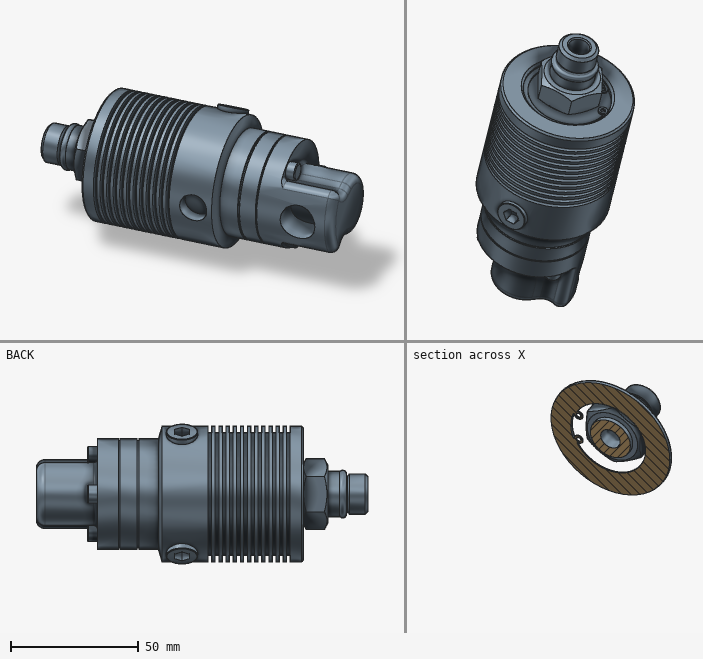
import cadquery as cq
import math


HEX_SIDES = 6
FULL_TURN = 360
QUARTER_TURN = 90

TIP_DIA = 15.9
TIP_END_DIA = 13.5
TIP_END_CHAMFER = 1.2
TIP_LENGTH = 8.2
TIP_BACK_CHAMFER = 0.9
NECK_DIA = 13.5
BEAD_DIA = 18.8
BEAD_RADIUS = 1.5
BEAD_CENTER = 10.0
SHOULDER_START = 11.2
SHOULDER_DIA = 18.0
HEX_START = 15.8
HEX_LENGTH = 10.0
HEX_FLATS = 24.1
HEX_FACE_DIA = 22.5
HEX_CHAMFER = 1.4
SHAFT_DIA = 18.1
ROTOR_BORE_DIA = 8.5
ROTOR_BORE_CHAMFER = 0.5

BARREL_START = 25.4
BARREL_END = 81.0
BARREL_DIA = 53.5
BARREL_CHAMFER = 0.8
TAPER_LENGTH = 1.4
FIN_COUNT = 12
FIN_START = 30.6
FIN_PITCH = 2.8
FIN_GROOVE_WIDTH = 1.4
FIN_GROOVE_DIA = 48.2

TAIL_DIA = 43.5
TAIL_END = 106.4
TAIL_GROOVE_DIA = 42.2
TAIL_GROOVES = [(90.0, 0.8), (97.5, 0.5)]

RECESS_DIA = 35.3
RECESS_MOUTH_DIA = 37.3
RING_DEPTH = 1.7
RING_THICKNESS = 0.8
RECESS_DEPTH = RING_DEPTH + RING_THICKNESS
RING_INNER_DIA = 32.6
RING_INNER_SHIFT = 0.7
EAR_DIA = 3.8
EAR_HOLE_DIA = 2.0
EAR_Y = -14.3
EAR_Z = 6.1

RADIAL_X = 73.1
VENT_DIA = 11.5
VENT_FLOOR_RADIUS = 21.1
PLUG_DIA = 12.4
PLUG_BASE_RADIUS = 19.5
PLUG_TOP_RADIUS = 28.3
PLUG_CHAMFER = 0.3
PLUG_ANGLES = (-30, -150)
SOCKET_CORNERS = 6.9
SOCKET_DEPTH = 4.5
SOCKET_POINT_DEPTH = 2.0

BLOCK_END = 130.4
BLOCK_HALF_HEIGHT = 13.5
BLOCK_BACK_RADIUS = 12.4
LOBE_RADIUS = 3.5
BLOCK_END_FILLET = 3.4
BLOCK_BASE_FILLET = 1.4
TANGENT_RUN = 6.5
PORT_X = 115.5
PORT_DIA = 14.7
PORT_FLOOR_RADIUS = 10.7

SCREW_CIRCLE_RADIUS = 17.5
SCREW_DIA = 7.2
SCREW_HEIGHT = 3.9
SCREW_CHAMFER = 0.4
SCREW_COUNT = 3


def disc(start, length, dia):
    """Solid cylinder along +X."""
    return cq.Workplane("YZ", origin=(start, 0, 0)).circle(dia / 2).extrude(length)


def annular_groove(start, width, floor_dia):
    """Ring-shaped cutter that leaves the material inside floor_dia."""
    return (
        cq.Workplane("YZ", origin=(start, 0, 0))
        .circle(BARREL_DIA)
        .circle(floor_dia / 2)
        .extrude(width)
    )


def hex_collar():
    """Hexagon with points at top and bottom, both ends chamfered by a cone."""
    corners = HEX_FLATS / math.cos(math.pi / HEX_SIDES)
    prism = (
        cq.Workplane("YZ", origin=(HEX_START, 0, 0))
        .transformed(rotate=(0, 0, QUARTER_TURN))
        .polygon(HEX_SIDES, corners)
        .extrude(HEX_LENGTH)
    )
    face_radius = HEX_FACE_DIA / 2
    corner_radius = corners / 2
    envelope = (
        cq.Workplane("XY")
        .moveTo(HEX_START, 0)
        .lineTo(HEX_START, face_radius)
        .lineTo(HEX_START + HEX_CHAMFER, corner_radius)
        .lineTo(HEX_START + HEX_LENGTH - HEX_CHAMFER, corner_radius)
        .lineTo(HEX_START + HEX_LENGTH, face_radius)
        .lineTo(HEX_START + HEX_LENGTH, 0)
        .close()
        .revolve(FULL_TURN, (0, 0, 0), (1, 0, 0))
    )
    return prism.intersect(envelope)


def make_rotor():
    recess_floor = BARREL_START + RECESS_DEPTH
    bead_crest = BEAD_DIA / 2
    bead_middle = bead_crest - BEAD_RADIUS
    bead_start = BEAD_CENTER - BEAD_RADIUS
    bead_drop = math.sqrt(BEAD_RADIUS**2 - (SHOULDER_START - BEAD_CENTER) ** 2)
    turned = (
        cq.Workplane("XY")
        .moveTo(0, ROTOR_BORE_DIA / 2 + ROTOR_BORE_CHAMFER)
        .lineTo(0, TIP_END_DIA / 2)
        .lineTo(TIP_END_CHAMFER, TIP_DIA / 2)
        .lineTo(TIP_LENGTH - TIP_BACK_CHAMFER, TIP_DIA / 2)
        .lineTo(TIP_LENGTH, TIP_DIA / 2 - TIP_BACK_CHAMFER)
        .lineTo(TIP_LENGTH, NECK_DIA / 2)
        .lineTo(bead_start, NECK_DIA / 2)
        .lineTo(bead_start, bead_middle)
        .threePointArc((BEAD_CENTER, bead_crest), (SHOULDER_START, bead_middle + bead_drop))
        .lineTo(SHOULDER_START, SHOULDER_DIA / 2)
        .lineTo(HEX_START, SHOULDER_DIA / 2)
        .lineTo(HEX_START, SHAFT_DIA / 2)
        .lineTo(recess_floor, SHAFT_DIA / 2)
        .lineTo(recess_floor, ROTOR_BORE_DIA / 2)
        .lineTo(ROTOR_BORE_CHAMFER, ROTOR_BORE_DIA / 2)
        .close()
        .revolve(FULL_TURN, (0, 0, 0), (1, 0, 0))
    )
    bore = disc(0, recess_floor, ROTOR_BORE_DIA)
    return turned.union(hex_collar().cut(bore))


def barrel_and_tail():
    """Turned outside of the housing, still without fins."""
    barrel_radius = BARREL_DIA / 2
    tail_radius = TAIL_DIA / 2
    return (
        cq.Workplane("XY")
        .moveTo(BARREL_START, 0)
        .lineTo(BARREL_START, barrel_radius - BARREL_CHAMFER)
        .lineTo(BARREL_START + BARREL_CHAMFER, barrel_radius)
        .lineTo(BARREL_END, barrel_radius)
        .lineTo(BARREL_END + TAPER_LENGTH, tail_radius)
        .lineTo(TAIL_END, tail_radius)
        .lineTo(TAIL_END, 0)
        .close()
        .revolve(FULL_TURN, (0, 0, 0), (1, 0, 0))
    )


def cut_turned_grooves(body):
    for index in range(FIN_COUNT):
        start = FIN_START + index * FIN_PITCH
        body = body.cut(annular_groove(start, FIN_GROOVE_WIDTH, FIN_GROOVE_DIA))
    for start, width in TAIL_GROOVES:
        body = body.cut(annular_groove(start, width, TAIL_GROOVE_DIA))
    return body


def recess():
    mouth = (RECESS_MOUTH_DIA - RECESS_DIA) / 2
    return (
        cq.Workplane("XY")
        .moveTo(BARREL_START, 0)
        .lineTo(BARREL_START, RECESS_MOUTH_DIA / 2)
        .lineTo(BARREL_START + mouth, RECESS_DIA / 2)
        .lineTo(BARREL_START + RECESS_DEPTH, RECESS_DIA / 2)
        .lineTo(BARREL_START + RECESS_DEPTH, 0)
        .close()
        .revolve(FULL_TURN, (0, 0, 0), (1, 0, 0))
    )


def retaining_ring():
    """Open ring, thickest at +Y, with a drilled ear at each side of the gap at -Y."""
    ring_start = BARREL_START + RING_DEPTH
    plane = cq.Workplane("YZ", origin=(ring_start, 0, 0))
    ears = [(EAR_Y, EAR_Z), (EAR_Y, -EAR_Z)]
    ring = disc(ring_start, RING_THICKNESS, RECESS_DIA).cut(
        plane.center(-RING_INNER_SHIFT, 0).circle(RING_INNER_DIA / 2).extrude(RING_THICKNESS)
    )
    gap = plane.center(-RECESS_DIA / 2, 0).rect(RECESS_DIA / 2, 2 * EAR_Z).extrude(RING_THICKNESS)
    ring = ring.cut(gap)
    ring = ring.union(plane.pushPoints(ears).circle(EAR_DIA / 2).extrude(RING_THICKNESS))
    return ring.cut(plane.pushPoints(ears).circle(EAR_HOLE_DIA / 2).extrude(RING_THICKNESS))


def radial_pocket(x, dia, mouth_radius, floor_radius):
    """Round opening from the -Y side whose floor is a cylinder about the X axis."""
    drill = cq.Workplane("XZ", origin=(x, 0, 0)).circle(dia / 2).extrude(mouth_radius)
    return drill.cut(disc(x - dia, 2 * dia, 2 * floor_radius))


def plug():
    """Round plug head along +Z, its foot buried in the barrel."""
    return (
        cq.Workplane("XY", origin=(RADIAL_X, 0, PLUG_BASE_RADIUS))
        .circle(PLUG_DIA / 2)
        .extrude(PLUG_TOP_RADIUS - PLUG_BASE_RADIUS)
        .faces(">Z")
        .chamfer(PLUG_CHAMFER)
    )


def socket():
    """Hexagon socket ending in a drill point."""
    depth = SOCKET_DEPTH + SOCKET_POINT_DEPTH
    hexagon = (
        cq.Workplane("XY", origin=(RADIAL_X, 0, PLUG_TOP_RADIUS - depth))
        .transformed(rotate=(0, 0, QUARTER_TURN))
        .polygon(HEX_SIDES, SOCKET_CORNERS)
        .extrude(depth)
    )
    pilot = (
        cq.Workplane("XZ", origin=(RADIAL_X, 0, PLUG_TOP_RADIUS))
        .moveTo(0, 0)
        .lineTo(SOCKET_CORNERS / 2, 0)
        .lineTo(SOCKET_CORNERS / 2, -SOCKET_DEPTH)
        .lineTo(0, -depth)
        .close()
        .revolve(FULL_TURN, (0, 0, 0), (0, 1, 0))
    )
    return hexagon.intersect(pilot)


def add_plugs(body):
    for angle in PLUG_ANGLES:
        body = body.union(plug().rotate((0, 0, 0), (1, 0, 0), angle))
        body = body.cut(socket().rotate((0, 0, 0), (1, 0, 0), angle))
    return body


def screw_places():
    angles = [2 * math.pi * index / SCREW_COUNT for index in range(SCREW_COUNT)]
    return [(SCREW_CIRCLE_RADIUS * math.cos(a), SCREW_CIRCLE_RADIUS * math.sin(a)) for a in angles]


def towards(start, target, distance):
    """Point at the given distance from start in the direction of target."""
    span = math.dist(start, target)
    return tuple(s + (t - s) * distance / span for s, t in zip(start, target))


def mirror(point):
    """Same point on the other side of the Z = 0 plane."""
    return (point[0], -point[1])


def block_outline():
    """(Y, Z) points of the upper half of the block outline, from its round back to the tail circle.

    In order: end of the back arc, the hollow round a screw (start, middle, end) and the lobe
    (middle, end). All stretches are tangent to each other and to the tail circle.
    """
    tail_radius = TAIL_DIA / 2
    lobe_z = BLOCK_HALF_HEIGHT - LOBE_RADIUS
    lobe = (-math.sqrt((tail_radius - LOBE_RADIUS) ** 2 - lobe_z**2), lobe_z)
    screw = screw_places()[1]
    hollow_radius = math.dist(lobe, screw) - LOBE_RADIUS

    distance = math.hypot(*screw)
    normal = math.atan2(screw[1], screw[0])
    normal -= math.acos((BLOCK_BACK_RADIUS + hollow_radius) / distance)
    direction = (math.cos(normal), math.sin(normal))
    back_end = tuple(BLOCK_BACK_RADIUS * d for d in direction)
    hollow_start = tuple(s - hollow_radius * d for s, d in zip(screw, direction))

    hollow_end = towards(screw, lobe, hollow_radius)
    hollow_middle = towards(screw, [(a + b) / 2 for a, b in zip(hollow_start, hollow_end)], hollow_radius)
    lobe_end = towards((0, 0), lobe, tail_radius)
    lobe_middle = towards(lobe, [(a + b) / 2 for a, b in zip(hollow_end, lobe_end)], LOBE_RADIUS)
    return back_end, hollow_start, hollow_middle, hollow_end, lobe_middle, lobe_end


def block_clearance():
    """Cutter for the space round the block, leaving a rounded foot where the block meets the tail."""
    back_end, hollow_start, hollow_middle, hollow_end, lobe_middle, lobe_end = block_outline()

    tail_radius = TAIL_DIA / 2
    tangent = (lobe_end[1] / tail_radius, -lobe_end[0] / tail_radius)
    exit_point = tuple(p - TANGENT_RUN * t for p, t in zip(lobe_end, tangent))

    clearance = (
        cq.Workplane("YZ", origin=(TAIL_END, 0, 0))
        .moveTo(*mirror(back_end))
        .threePointArc((BLOCK_BACK_RADIUS, 0), back_end)
        .lineTo(*hollow_start)
        .threePointArc(hollow_middle, hollow_end)
        .threePointArc(lobe_middle, lobe_end)
        .lineTo(*exit_point)
        .lineTo(exit_point[0], TAIL_DIA)
        .lineTo(TAIL_DIA, TAIL_DIA)
        .lineTo(TAIL_DIA, -TAIL_DIA)
        .lineTo(exit_point[0], -TAIL_DIA)
        .lineTo(*mirror(exit_point))
        .lineTo(*mirror(lobe_end))
        .threePointArc(mirror(lobe_middle), mirror(hollow_end))
        .threePointArc(mirror(hollow_middle), mirror(hollow_start))
        .close()
        .extrude(BLOCK_END - TAIL_END)
    )
    foot_edge = cq.NearestToPointSelector((TAIL_END, BLOCK_BACK_RADIUS, 0))
    return clearance.edges(foot_edge).fillet(BLOCK_BASE_FILLET)


def connection_block():
    tail = disc(TAIL_END, BLOCK_END - TAIL_END, TAIL_DIA)
    return tail.cut(block_clearance()).faces(">X").edges().fillet(BLOCK_END_FILLET)


def cap_screws():
    return (
        cq.Workplane("YZ", origin=(TAIL_END, 0, 0))
        .pushPoints(screw_places())
        .circle(SCREW_DIA / 2)
        .extrude(SCREW_HEIGHT)
        .faces(">X")
        .chamfer(SCREW_CHAMFER)
    )


def make_housing():
    body = cut_turned_grooves(barrel_and_tail())
    body = body.cut(recess()).union(retaining_ring())
    body = body.cut(radial_pocket(RADIAL_X, VENT_DIA, BARREL_DIA, VENT_FLOOR_RADIUS))
    body = add_plugs(body)
    body = body.union(connection_block())
    body = body.cut(radial_pocket(PORT_X, PORT_DIA, TAIL_DIA, PORT_FLOOR_RADIUS))
    return body.union(cap_screws())


rotor = make_rotor()
housing = make_housing()
result = cq.Compound.makeCompound([rotor.val(), housing.val()])